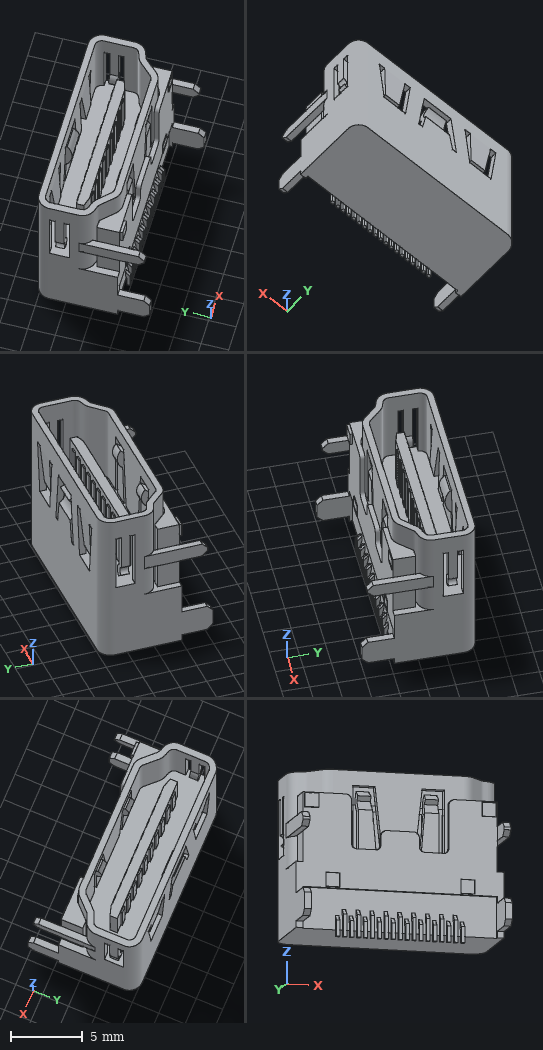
import cadquery as cq


SHELL_WIDTH = 15.0
SHELL_HEIGHT = 11.5
SHELL_DEPTH = 5.52
SHEET = 0.5
HALF_WIDTH = SHELL_WIDTH / 2
INNER_HALF_WIDTH = HALF_WIDTH - SHEET
SHOULDER_Y = -3.87
KNEE_X = 6.35
KNEE_Y = -4.27
FRONT_CORNER_X = 5.15
CORNER_RADIUS = 1.0
KNEE_RADIUS = 0.5

HOUSING_FRONT = -5.97
BASE_TOP = 4.71
BLOCK_TOP = 9.69
BLOCK_BACK = -4.33
BLOCK_GAP = 0.09
RECESS_TOP = 2.94
RECESS_Y = -5.75

NOTCH_OUTER_X = 3.52
NOTCH_INNER_X = 1.38
NOTCH_CENTRE_Z = 7.23
NOTCH_RADIUS = 0.4

CAVITY_FLOOR = 5.82

TONGUE_TOP = 9.54
TONGUE_HALF_WIDTH = 5.38
TONGUE_BACK = -2.40
TONGUE_FRONT = -3.16
TONGUE_BEVEL_X = 0.68
TONGUE_BEVEL_Y = 0.21
CONTACT_TOP = 9.10
CONTACT_WIDTH = 0.5
CONTACT_PITCH = 1.0
BACK_CONTACTS = 10
BACK_CONTACT_RISE = 0.11
FRONT_CONTACTS = 9
FRONT_CONTACT_RISE = 0.06

TAIL_COUNT = 19
TAIL_PITCH = 0.5
TAIL_WIDTH = 0.25
TAIL_THICKNESS = 0.23
TAIL_FRONT = -6.08
TAIL_BOTTOM = -0.5
SHORT_TAIL_TOP = 1.04
LONG_TAIL_TOP = 1.49
TAIL_BEND_DROP = 0.39

UPPER_LEG_BOTTOM = 6.91
UPPER_LEG_TOP = 7.95
UPPER_LEG_TIP = -7.90
UPPER_LEG_ROOT = -3.17
LOWER_LEG_BOTTOM = 0.46
LOWER_LEG_TOP = 2.47
LOWER_LEG_TIP = -8.28
LEG_CHAMFER = 0.42

PAD_SIZE = 1.0
UPPER_PAD_X = 6.41
UPPER_PAD_Z = 9.11
LOWER_PAD_X = 4.87
LOWER_PAD_Z = 3.53
TALL_PAD_RISE = 0.21
LOW_PAD_RISE = 0.05

FRONT_WINDOW_TOP = 10.42
FRONT_WINDOW_OUTER_X = 3.30
FRONT_WINDOW_INNER_X = 1.70
FRONT_WINDOW_FOOT_X = 1.19
FRONT_SPRING_TOP = 10.14
FRONT_SPRING_OUTER_X = 2.91
FRONT_SPRING_TIP_X = 2.0
FRONT_SPRING_FOOT_X = 1.63

SIDE_WINDOW_TOP = 10.02
SIDE_WINDOW_BACK = -1.04
SIDE_WINDOW_FRONT = -2.47
SIDE_SPRING_BOTTOM = 6.35
SIDE_SPRING_BACK = -1.45
SIDE_SPRING_FRONT = -2.08

BACK_WINDOW_TOP = 9.8
CENTRE_WINDOW_HALF_TOP = 1.25
CENTRE_WINDOW_HALF_FOOT = 1.75
CENTRE_SPRING_TOP = 9.3
CENTRE_SPRING_HALF_TIP = 0.8
CENTRE_SPRING_HALF_FOOT = 1.4
FLAP_X = 4.0
FLAP_WINDOW_HALF_TOP = 1.44
FLAP_WINDOW_HALF_FOOT = 1.0
FLAP_BOTTOM = 6.8
FLAP_HALF_TOP = 0.95
FLAP_HALF_TIP = 0.66
FLAP_LEAN = 0.23

FRONT_HOOK = {"depth": 0.38, "tip_return": 0.27, "span": 1.41, "hollow_end": 0.74, "end_slant": 0.41}
SIDE_HOOK = {"depth": 0.29, "tip_return": 0.22, "span": 1.07, "hollow_end": 0.36, "end_slant": 0.36}
CENTRE_HOOK = {"depth": 0.38, "tip_return": 0.38, "span": 1.8, "hollow_end": 0.25, "end_slant": 0.25}
HOLLOW_MIDDLE_SHARE = 0.6

SIDES = (-1, 1)


def box(x0, x1, y0, y1, z0, z1):
    """Axis-aligned box between opposite corners, in any order."""
    size = (abs(x1 - x0), abs(y1 - y0), abs(z1 - z0))
    return cq.Workplane("XY").box(*size).translate(((x0 + x1) / 2, (y0 + y1) / 2, (z0 + z1) / 2))


def wall_prism(points, y_back, y_front):
    """Prism of an XZ outline, running from y_back toward -Y to y_front."""
    return (
        cq.Workplane("XZ", origin=(0, y_back, 0))
        .polyline(points)
        .close()
        .extrude(y_back - y_front)
    )


def side_prism(points, x0, x1):
    """Prism of a YZ outline between two X positions."""
    return cq.Workplane("YZ", origin=(x0, 0, 0)).polyline(points).close().extrude(x1 - x0)


def mirrored_x(points):
    """Symmetric outline made from its +X half."""
    return points + [(-x, *rest) for x, *rest in reversed(points)]


def trapezoid(centre, half_top, half_foot, top, foot):
    """Upright symmetric trapezoid as XZ points."""
    return [
        (centre - half_top, top),
        (centre + half_top, top),
        (centre + half_foot, foot),
        (centre - half_foot, foot),
    ]


def mouth_solid(bottom, top, growth=0.0):
    """D-shaped solid of the shell outline, grown or shrunk by an offset."""
    corners = mirrored_x(
        [
            (HALF_WIDTH, 0, CORNER_RADIUS),
            (HALF_WIDTH, SHOULDER_Y, CORNER_RADIUS),
            (KNEE_X, KNEE_Y, KNEE_RADIUS),
            (FRONT_CORNER_X, -SHELL_DEPTH, CORNER_RADIUS),
        ]
    )
    height = top - bottom
    solid = cq.Workplane("XY").polyline([(x, y) for x, y, _ in corners]).close().extrude(height)
    for x, y, radius in corners:
        corner_edge = cq.selectors.NearestToPointSelector((x, y, height / 2))
        solid = solid.edges("|Z").edges(corner_edge).fillet(radius)
    if growth:
        outline = solid.faces("<Z").wires().toPending().offset2D(growth)
        solid = outline.extrude(height, combine=False)
    return solid.translate((0, 0, bottom))


def hooked_spring(root, along, normal, length, width, hook):
    """Spring strip that bulges into the cavity and flicks back out at its tip.

    The root is a point on the cavity side of the wall. The profile's x runs along the strip
    and its y points into the cavity; the wall's outside is at -SHEET.
    """
    depth = hook["depth"]
    bend = length - hook["span"]
    hollow_end = length - hook["hollow_end"]
    hollow_middle = (bend + hollow_end) / 2
    inner_tip_depth = depth - hook["tip_return"]
    outer_tip = (length - hook["end_slant"], inner_tip_depth - SHEET)
    profile = cq.Workplane(cq.Plane(origin=root, xDir=along, normal=normal))
    profile = profile.moveTo(0, -SHEET).lineTo(bend, -SHEET)
    if hollow_end < outer_tip[0]:
        profile = profile.threePointArc(
            (hollow_middle, depth * HOLLOW_MIDDLE_SHARE - SHEET), (hollow_end, depth - SHEET)
        )
        profile = profile.lineTo(*outer_tip)
    else:
        profile = profile.threePointArc((hollow_middle, depth - SHEET), outer_tip)
    return (
        profile.lineTo(length, inner_tip_depth)
        .threePointArc((length - hook["span"] / 2, depth), (bend, 0))
        .lineTo(0, 0)
        .close()
        .extrude(width / 2, both=True)
    )


def make_shell():
    """D-shaped tube standing on the base, closed below the cavity floor."""
    shell = mouth_solid(0, SHELL_HEIGHT)
    return shell.cut(mouth_solid(CAVITY_FLOOR, SHELL_HEIGHT, -SHEET))


def make_base():
    """Full-width foot of the connector, square at the front and rounded at the back."""
    base = box(-HALF_WIDTH, HALF_WIDTH, 0, HOUSING_FRONT, 0, BASE_TOP)
    base = base.edges("|Z and >Y").fillet(CORNER_RADIUS)
    recess = box(-INNER_HALF_WIDTH, INNER_HALF_WIDTH, RECESS_Y, HOUSING_FRONT, 0, RECESS_TOP)
    return base.cut(recess)


def make_block():
    """Plastic block hugging the front of the shell with a narrow gap and a notched front wall."""
    block = box(-INNER_HALF_WIDTH, INNER_HALF_WIDTH, BLOCK_BACK, HOUSING_FRONT, BASE_TOP, BLOCK_TOP)
    block = block.cut(mouth_solid(BASE_TOP, BLOCK_TOP, BLOCK_GAP))
    notch_back = -SHELL_DEPTH
    notch = box(-NOTCH_INNER_X, NOTCH_INNER_X, notch_back, HOUSING_FRONT, NOTCH_CENTRE_Z, BLOCK_TOP)
    for side in SIDES:
        notch = notch.union(
            box(
                side * NOTCH_INNER_X,
                side * NOTCH_OUTER_X,
                notch_back,
                HOUSING_FRONT,
                CAVITY_FLOOR,
                BLOCK_TOP,
            )
        )
    block = block.cut(notch)
    for side in SIDES:
        for x, z in (
            (NOTCH_OUTER_X, BLOCK_TOP),
            (NOTCH_OUTER_X, CAVITY_FLOOR),
            (NOTCH_INNER_X, CAVITY_FLOOR),
            (NOTCH_INNER_X, NOTCH_CENTRE_Z),
        ):
            corner_edge = cq.selectors.NearestToPointSelector((side * x, HOUSING_FRONT, z))
            block = block.edges("|Y").edges(corner_edge).fillet(NOTCH_RADIUS)
    return block


def make_tongue():
    """Contact tongue with its row of contacts on each face."""
    outline = mirrored_x(
        [
            (TONGUE_HALF_WIDTH, TONGUE_BACK),
            (TONGUE_HALF_WIDTH, TONGUE_FRONT + TONGUE_BEVEL_Y),
            (TONGUE_HALF_WIDTH - TONGUE_BEVEL_X, TONGUE_FRONT),
        ]
    )
    tongue = cq.Workplane("XY", origin=(0, 0, CAVITY_FLOOR)).polyline(outline).close()
    tongue = tongue.extrude(TONGUE_TOP - CAVITY_FLOOR)
    rows = (
        (BACK_CONTACTS, TONGUE_BACK, TONGUE_BACK + BACK_CONTACT_RISE),
        (FRONT_CONTACTS, TONGUE_FRONT, TONGUE_FRONT - FRONT_CONTACT_RISE),
    )
    for count, face_y, contact_y in rows:
        for index in range(count):
            x = (index - (count - 1) / 2) * CONTACT_PITCH
            left = x - CONTACT_WIDTH / 2
            right = x + CONTACT_WIDTH / 2
            tongue = tongue.union(box(left, right, face_y, contact_y, CAVITY_FLOOR, CONTACT_TOP))
    return tongue


def make_tail(x, top):
    """Contact tail leaving the recess wall, sloping forward and turning straight down."""
    back = TAIL_FRONT + TAIL_THICKNESS
    points = [
        (RECESS_Y, top),
        (TAIL_FRONT, top - TAIL_BEND_DROP),
        (TAIL_FRONT, TAIL_BOTTOM),
        (back, TAIL_BOTTOM),
        (back, top - 2 * TAIL_BEND_DROP),
        (RECESS_Y, top - TAIL_BEND_DROP),
    ]
    return side_prism(points, x - TAIL_WIDTH / 2, x + TAIL_WIDTH / 2)


def make_leg(side, root, tip, bottom, top):
    """Board leg in the plane of one side wall, with both tip corners chamfered."""
    leg = box(side * INNER_HALF_WIDTH, side * HALF_WIDTH, root, tip, bottom, top)
    return leg.edges("|X and <Y").chamfer(LEG_CHAMFER)


def make_pad(x, z, rise):
    """Square pad standing on the front of the housing."""
    half = PAD_SIZE / 2
    return box(x - half, x + half, HOUSING_FRONT, HOUSING_FRONT - rise, z - half, z + half)


def add_front_spring(shell, side):
    """Window and hooked spring in the front wall, rooted at the window foot."""
    inner_wall = -SHELL_DEPTH + SHEET
    window = [
        (side * FRONT_WINDOW_OUTER_X, FRONT_WINDOW_TOP),
        (side * FRONT_WINDOW_INNER_X, FRONT_WINDOW_TOP),
        (side * FRONT_WINDOW_FOOT_X, CAVITY_FLOOR),
        (side * FRONT_WINDOW_OUTER_X, CAVITY_FLOOR),
    ]
    face = [
        (side * FRONT_SPRING_OUTER_X, FRONT_SPRING_TOP),
        (side * FRONT_SPRING_TIP_X, FRONT_SPRING_TOP),
        (side * FRONT_SPRING_FOOT_X, CAVITY_FLOOR),
        (side * FRONT_SPRING_OUTER_X, CAVITY_FLOOR),
    ]
    spring = hooked_spring(
        root=(0, inner_wall, CAVITY_FLOOR),
        along=(0, 0, 1),
        normal=(-1, 0, 0),
        length=FRONT_SPRING_TOP - CAVITY_FLOOR,
        hook=FRONT_HOOK,
        width=SHELL_WIDTH,
    )
    spring = spring.intersect(wall_prism(face, 0, -SHELL_DEPTH))
    return shell.cut(wall_prism(window, inner_wall, -SHELL_DEPTH)).union(spring)


def add_side_spring(shell, side):
    """Window and hooked spring in a side wall, hanging from the window top."""
    window = box(
        side * INNER_HALF_WIDTH,
        side * HALF_WIDTH,
        SIDE_WINDOW_BACK,
        SIDE_WINDOW_FRONT,
        CAVITY_FLOOR,
        SIDE_WINDOW_TOP,
    )
    spring = hooked_spring(
        root=(side * INNER_HALF_WIDTH, (SIDE_SPRING_BACK + SIDE_SPRING_FRONT) / 2, SIDE_WINDOW_TOP),
        along=(0, 0, -1),
        normal=(0, side, 0),
        length=SIDE_WINDOW_TOP - SIDE_SPRING_BOTTOM,
        hook=SIDE_HOOK,
        width=SIDE_SPRING_BACK - SIDE_SPRING_FRONT,
    )
    return shell.cut(window).union(spring)


def add_centre_spring(shell):
    """Window and hooked spring in the middle of the back wall."""
    window = trapezoid(
        0, CENTRE_WINDOW_HALF_TOP, CENTRE_WINDOW_HALF_FOOT, BACK_WINDOW_TOP, CAVITY_FLOOR
    )
    face = trapezoid(
        0, CENTRE_SPRING_HALF_TIP, CENTRE_SPRING_HALF_FOOT, CENTRE_SPRING_TOP, CAVITY_FLOOR
    )
    spring = hooked_spring(
        root=(0, -SHEET, CAVITY_FLOOR),
        along=(0, 0, 1),
        normal=(1, 0, 0),
        length=CENTRE_SPRING_TOP - CAVITY_FLOOR,
        hook=CENTRE_HOOK,
        width=SHELL_WIDTH,
    )
    spring = spring.intersect(wall_prism(face, 0, -SHELL_DEPTH))
    return shell.cut(wall_prism(window, 0, -SHEET)).union(spring)


def add_flap(shell, side):
    """Window in the back wall with a flat flap that leans in from the window top."""
    x = side * FLAP_X
    window = trapezoid(x, FLAP_WINDOW_HALF_TOP, FLAP_WINDOW_HALF_FOOT, BACK_WINDOW_TOP, CAVITY_FLOOR)
    face = trapezoid(x, FLAP_HALF_TOP, FLAP_HALF_TIP, BACK_WINDOW_TOP, FLAP_BOTTOM)
    lean = [
        (0, BACK_WINDOW_TOP),
        (-SHEET, BACK_WINDOW_TOP),
        (-SHEET - FLAP_LEAN, FLAP_BOTTOM),
        (-FLAP_LEAN, FLAP_BOTTOM),
    ]
    flap = side_prism(lean, -HALF_WIDTH, HALF_WIDTH).intersect(wall_prism(face, 0, -SHELL_DEPTH))
    return shell.cut(wall_prism(window, 0, -SHEET)).union(flap)


def make_connector():
    """Whole connector as one solid."""
    part = add_centre_spring(make_shell())
    for side in SIDES:
        part = add_front_spring(part, side)
        part = add_side_spring(part, side)
        part = add_flap(part, side)
    part = part.union(make_base()).union(make_block()).union(make_tongue())
    for side in SIDES:
        part = part.union(
            make_leg(side, UPPER_LEG_ROOT, UPPER_LEG_TIP, UPPER_LEG_BOTTOM, UPPER_LEG_TOP)
        )
        part = part.union(
            make_leg(side, HOUSING_FRONT, LOWER_LEG_TIP, LOWER_LEG_BOTTOM, LOWER_LEG_TOP)
        )
        part = part.union(make_pad(side * LOWER_PAD_X, LOWER_PAD_Z, LOW_PAD_RISE))
    part = part.union(make_pad(-UPPER_PAD_X, UPPER_PAD_Z, TALL_PAD_RISE))
    part = part.union(make_pad(UPPER_PAD_X, UPPER_PAD_Z, LOW_PAD_RISE))
    for index in range(TAIL_COUNT):
        x = (index - (TAIL_COUNT - 1) / 2) * TAIL_PITCH
        top = SHORT_TAIL_TOP if index % 2 == 0 else LONG_TAIL_TOP
        part = part.union(make_tail(x, top))
    return part


result = make_connector()